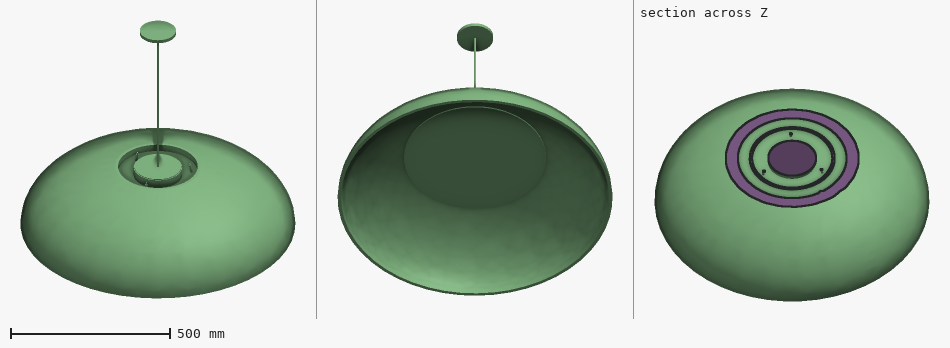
import cadquery as cq
import math

total_height = 723.0

shade_radius = 432.0
dome_height = 226.0
shade_height = 215.0
shade_thickness = 10.0
opening_radius = 125.0
collar_depth = 23.0

diffuser_drop = 32.0
diffuser_thickness = 5.0
diffuser_top = shade_height - diffuser_drop

hub_radius = 76.0
lid_inset = 3.0
lid_thickness = 3.0
lid_radius = hub_radius - lid_inset
lid_recess = 1.0
lid_top = shade_height - lid_recess
lid_bottom = lid_top - lid_thickness

canopy_radius = 57.0
canopy_height = 11.0
canopy_plate_thickness = 3.5
canopy_bottom = total_height - canopy_height
canopy_plate_top = canopy_bottom + canopy_plate_thickness

rod_radius = 3.5

pin_count = 3
first_pin_angle = -90.0
pin_base_distance = 107.0
pin_lean = 10.0
pin_radius = 3.9
pin_body_length = 28.0
pin_tip_radius = 2.2
pin_tip_length = 6.0
pin_bury = 4.0

inner_radius = shade_radius - shade_thickness
inner_height = dome_height - shade_thickness


def ellipse_radius(radius, height, z):
    """Radius at level z of a dome with the given base radius and height."""
    return radius * math.sqrt(1 - (z / height) ** 2)


def ellipse_height(radius, height, r):
    """Level at distance r from the axis of the same kind of dome."""
    return height * math.sqrt(1 - (r / radius) ** 2)


def disc(radius, bottom, top):
    return cq.Workplane("XY").workplane(offset=bottom).circle(radius).extrude(top - bottom)


def dome_arc(radius, height, end_radius):
    """Parametric elliptical curve from the base circle up to end_radius."""
    end_angle = math.acos(end_radius / radius)
    return lambda t: (radius * math.cos(t * end_angle), height * math.sin(t * end_angle))


def make_shade():
    flat_radius = ellipse_radius(shade_radius, dome_height, shade_height)
    collar_bottom = shade_height - collar_depth
    collar_join = ellipse_height(inner_radius, inner_height, flat_radius)
    outer_arc = dome_arc(shade_radius, dome_height, flat_radius)
    inner_arc = dome_arc(inner_radius, inner_height, flat_radius)
    curve_steps = 40
    inner_points = [inner_arc(1 - i / curve_steps) for i in range(1, curve_steps + 1)]
    profile = (
        cq.Workplane("XZ")
        .parametricCurve(outer_arc, N=curve_steps, makeWire=False)
        .moveTo(flat_radius, shade_height)
        .lineTo(opening_radius, shade_height)
        .lineTo(opening_radius, collar_bottom)
        .lineTo(flat_radius, collar_bottom)
        .lineTo(flat_radius, collar_join)
        .spline(inner_points, includeCurrent=True)
        .lineTo(shade_radius, 0)
        .wire()
    )
    return profile.revolve(360, (0, 0, 0), (0, 1, 0))


def make_diffuser():
    """Disc whose upper edge meets the inside of the shade."""
    radius = ellipse_radius(inner_radius, inner_height, diffuser_top)
    return disc(radius, diffuser_top - diffuser_thickness, diffuser_top)


def make_pin(angle):
    body = disc(pin_radius, -pin_bury, pin_body_length)
    tip = disc(pin_tip_radius, pin_body_length, pin_body_length + pin_tip_length)
    leaning = body.union(tip).rotate((0, 0, 0), (0, 1, 0), -pin_lean)
    trim_radius = 2 * pin_radius
    trimmed = leaning.cut(disc(trim_radius, -2 * pin_bury, 0))
    return trimmed.translate((pin_base_distance, 0, diffuser_top)).rotate((0, 0, 0), (0, 0, 1), angle)


shade = make_shade()
diffuser = make_diffuser()
hub = disc(hub_radius, diffuser_top, lid_bottom)
hub_lid = disc(lid_radius, lid_bottom, lid_top)
rod = disc(rod_radius, lid_top, canopy_bottom)
canopy_plate = disc(canopy_radius, canopy_bottom, canopy_plate_top)
canopy = disc(canopy_radius, canopy_plate_top, total_height)
pins = [make_pin(first_pin_angle + i * 360 / pin_count) for i in range(pin_count)]

result = cq.Compound.makeCompound([
    shade.val(),
    diffuser.val(),
    hub.val(),
    hub_lid.val(),
    rod.val(),
    canopy_plate.val(),
    canopy.val(),
    *[pin.val() for pin in pins],
])